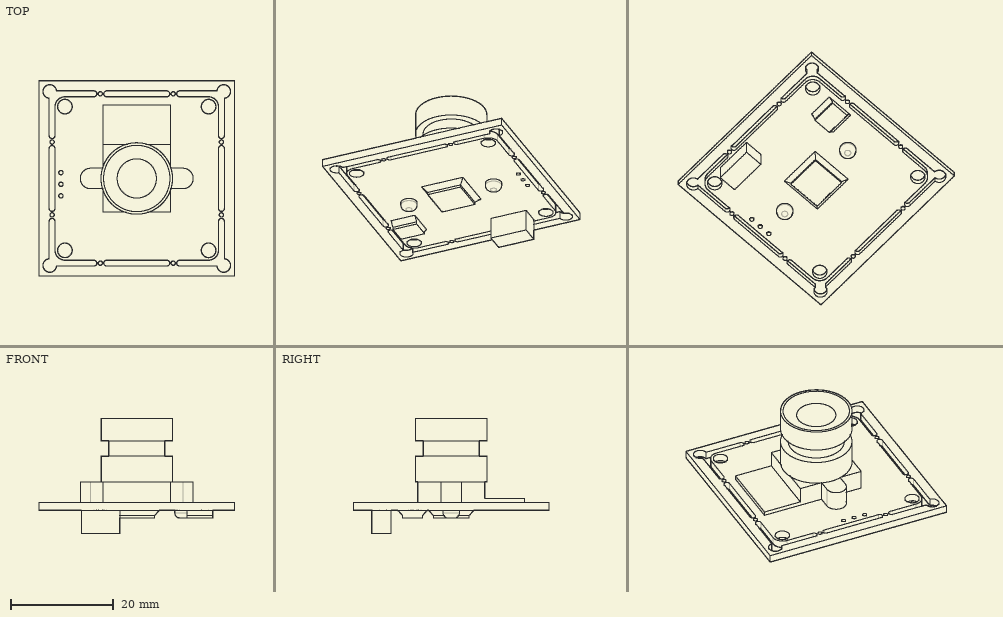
import cadquery as cq

BOARD_SIZE = 38.1
BOARD_THICKNESS = 1.57

SLOT_OFFSET = 16.5
SLOT_WIDTH = 1.1
TAB_OFFSET = 7.1
TAB_LENGTH = 1.4
TAB_HOLE_DIAMETER = 0.8
INNER_CORNER_RADIUS = 2.0
CORNER_HOLE_OFFSET = 16.95
CORNER_HOLE_DIAMETER = 2.6

MOUNT_HOLE_OFFSET = 14.0
MOUNT_HOLE_DIAMETER = 2.8
PIN_HOLE_DIAMETER = 0.8
PIN_HOLE_X = -14.77
PIN_HOLE_PITCH = 2.27
PIN_ROW_CENTER_Y = -1.13
PIN_HOLE_COUNT = 3

HOLDER_SIZE = 13.15
HOLDER_HEIGHT = 4.0
EAR_CENTER_X = 9.0
EAR_WIDTH = 4.0
FLAT_PLATE_END_Y = 14.3
FLAT_PLATE_HEIGHT = 0.8

BARREL_DIAMETER = 13.94
BARREL_HEIGHT = 5.0
NECK_DIAMETER = 10.96
NECK_HEIGHT = 3.0
CAP_HEIGHT = 4.36
DISH_RIM_DIAMETER = 12.94
DISH_FLOOR_DIAMETER = 7.65
DISH_DEPTH = 1.0

CHIP_HEIGHT = 1.5
CHIP_SLOPE_HEIGHT = 1.0
CHIP_BEVEL = 0.9
MAIN_CHIP_SIZE = 8.8
SIDE_CHIP_X = (9.8, 14.85)
SIDE_CHIP_Y = (-10.4, -4.68)
CONNECTOR_X = (-10.8, -3.3)
CONNECTOR_Y = (-15.5, -11.7)
CONNECTOR_DEPTH = 4.5
SCREW_DIAMETER = 3.2
SCREW_HEAD_HEIGHT = 1.5
SCREW_HEAD_ROUND = 1.0

HOLDER_TOP = BOARD_THICKNESS + HOLDER_HEIGHT
NECK_BOTTOM = HOLDER_TOP + BARREL_HEIGHT
CAP_BOTTOM = NECK_BOTTOM + NECK_HEIGHT
CAP_TOP = CAP_BOTTOM + CAP_HEIGHT


def box_between(x_range, y_range, z_range):
    """Box given by its lower and upper limits along each axis."""
    x_min, x_max = x_range
    y_min, y_max = y_range
    z_min, z_max = z_range
    size = (x_max - x_min, y_max - y_min, z_max - z_min)
    return cq.Workplane("XY").box(*size, centered=False).translate((x_min, y_min, z_min))


def square_corners(offset):
    """Four points at plus and minus the offset in X and Y."""
    return [(x, y) for x in (-offset, offset) for y in (-offset, offset)]


def break_off_slots():
    """Rounded-square ring cut, interrupted by two perforated tabs on each side."""
    inner_size = 2 * SLOT_OFFSET - SLOT_WIDTH
    outer_size = 2 * SLOT_OFFSET + SLOT_WIDTH
    inner = cq.Workplane("XY").rect(inner_size, inner_size).extrude(BOARD_THICKNESS)
    inner = inner.edges("|Z").fillet(INNER_CORNER_RADIUS)
    ring = cq.Workplane("XY").rect(outer_size, outer_size).extrude(BOARD_THICKNESS).cut(inner)

    end_offset = (TAB_LENGTH + SLOT_WIDTH) / 2
    tab = cq.Workplane("XY").rect(2 * end_offset, SLOT_WIDTH).extrude(BOARD_THICKNESS)
    end_points = [(-end_offset, 0), (end_offset, 0)]
    slot_ends = cq.Workplane("XY").pushPoints(end_points).circle(SLOT_WIDTH / 2).extrude(BOARD_THICKNESS)
    tab_hole = cq.Workplane("XY").circle(TAB_HOLE_DIAMETER / 2).extrude(BOARD_THICKNESS)
    tab = tab.cut(slot_ends).cut(tab_hole)

    for side_angle in (0, 90, 180, 270):
        for along_side in (-TAB_OFFSET, TAB_OFFSET):
            placed_tab = tab.translate((along_side, SLOT_OFFSET, 0))
            ring = ring.cut(placed_tab.rotate((0, 0, 0), (0, 0, 1), side_angle))
    return ring


def make_board():
    board = cq.Workplane("XY").rect(BOARD_SIZE, BOARD_SIZE).extrude(BOARD_THICKNESS)
    board = board.cut(break_off_slots())
    first_pin_y = PIN_ROW_CENTER_Y - PIN_HOLE_PITCH * (PIN_HOLE_COUNT - 1) / 2
    pin_points = [(PIN_HOLE_X, first_pin_y + i * PIN_HOLE_PITCH) for i in range(PIN_HOLE_COUNT)]
    hole_groups = (
        (square_corners(CORNER_HOLE_OFFSET), CORNER_HOLE_DIAMETER),
        (square_corners(MOUNT_HOLE_OFFSET), MOUNT_HOLE_DIAMETER),
        (pin_points, PIN_HOLE_DIAMETER),
    )
    for points, diameter in hole_groups:
        holes = cq.Workplane("XY").pushPoints(points).circle(diameter / 2).extrude(BOARD_THICKNESS)
        board = board.cut(holes)
    return board


def make_holder():
    """Square lens holder with two rounded ears and a thin plate reaching toward +Y."""
    board_top = cq.Workplane("XY").workplane(offset=BOARD_THICKNESS)
    block = board_top.rect(HOLDER_SIZE, HOLDER_SIZE).extrude(HOLDER_HEIGHT)
    ears = board_top.slot2D(2 * EAR_CENTER_X + EAR_WIDTH, EAR_WIDTH).extrude(HOLDER_HEIGHT)
    plate = box_between(
        (-HOLDER_SIZE / 2, HOLDER_SIZE / 2),
        (0, FLAT_PLATE_END_Y),
        (BOARD_THICKNESS, BOARD_THICKNESS + FLAT_PLATE_HEIGHT),
    )
    return block.union(ears).union(plate)


def make_lens():
    """Turned barrel, neck and cap with a conical dish in the top face."""
    barrel_radius = BARREL_DIAMETER / 2
    neck_radius = NECK_DIAMETER / 2
    profile = [
        (0, HOLDER_TOP),
        (barrel_radius, HOLDER_TOP),
        (barrel_radius, NECK_BOTTOM),
        (neck_radius, NECK_BOTTOM),
        (neck_radius, CAP_BOTTOM),
        (barrel_radius, CAP_BOTTOM),
        (barrel_radius, CAP_TOP),
        (DISH_RIM_DIAMETER / 2, CAP_TOP),
        (DISH_FLOOR_DIAMETER / 2, CAP_TOP - DISH_DEPTH),
        (0, CAP_TOP - DISH_DEPTH),
    ]
    return cq.Workplane("XZ").polyline(profile).close().revolve(360, (0, 0, 0), (0, 1, 0))


def bevelled_chip(x_range, y_range, bevel_x, bevel_y):
    """Chip under the board: walls slope inward from the board, then drop straight.

    bevel_x and bevel_y give the inward slope of the end walls along each axis.
    """
    x_min, x_max = x_range
    y_min, y_max = y_range
    width = x_max - x_min
    length = y_max - y_min
    tip_width = width - 2 * bevel_x
    tip_length = length - 2 * bevel_y
    base = (
        cq.Workplane("XY")
        .rect(width, length)
        .workplane(offset=-CHIP_SLOPE_HEIGHT)
        .rect(tip_width, tip_length)
        .loft(ruled=True)
    )
    slab = (
        cq.Workplane("XY")
        .workplane(offset=-CHIP_HEIGHT)
        .rect(tip_width, tip_length)
        .extrude(CHIP_HEIGHT - CHIP_SLOPE_HEIGHT)
    )
    center = ((x_min + x_max) / 2, (y_min + y_max) / 2, 0)
    return base.union(slab).translate(center)


def make_screw_heads():
    """Rounded screw heads below the two holder ears."""
    heads = (
        cq.Workplane("XY")
        .pushPoints([(-EAR_CENTER_X, 0), (EAR_CENTER_X, 0)])
        .circle(SCREW_DIAMETER / 2)
        .extrude(-SCREW_HEAD_HEIGHT)
    )
    return heads.faces("<Z").edges().fillet(SCREW_HEAD_ROUND)


def make_underside_components():
    half_chip = MAIN_CHIP_SIZE / 2
    main_chip_range = (-half_chip, half_chip)
    main_chip = bevelled_chip(main_chip_range, main_chip_range, CHIP_BEVEL, CHIP_BEVEL)
    side_chip = bevelled_chip(SIDE_CHIP_X, SIDE_CHIP_Y, 0, CHIP_BEVEL)
    connector = box_between(CONNECTOR_X, CONNECTOR_Y, (-CONNECTOR_DEPTH, 0))
    return [main_chip, side_chip, connector, make_screw_heads()]


result = make_board().union(make_holder()).union(make_lens())
for component in make_underside_components():
    result = result.union(component)